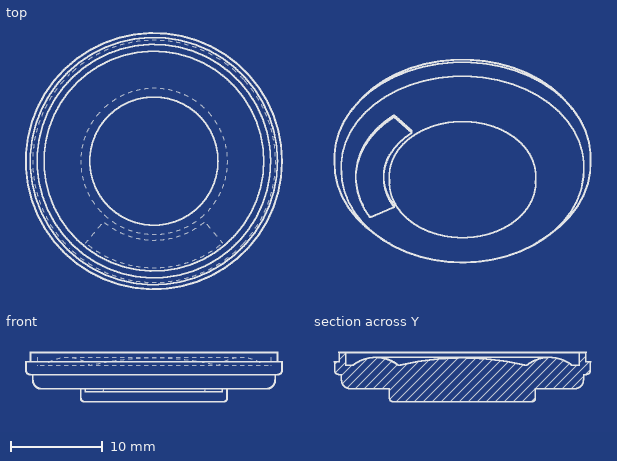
import cadquery as cq
import math

total_height = 5.41
rim_height = 1.0
collar_height = 1.45
drum_height = 1.55
boss_height = total_height - rim_height - collar_height - drum_height

drum_bottom = boss_height
collar_bottom = drum_bottom + drum_height
rim_bottom = collar_bottom + collar_height

rim_radius = 13.5
collar_radius = 14.0
drum_radius = 13.25
boss_radius = 8.0
collar_fillet = 0.5
drum_fillet = 1.0
boss_fillet = 0.4

recess_radius = 12.75
recess_depth = 1.4
ring_outer_radius = 12.0
ring_inner_radius = 7.0
ring_section_radius = 4.0
dome_sphere_radius = 30.0
floor_height = total_height - recess_depth

tab_inner_radius = 8.62
tab_outer_radius = 11.65
tab_half_angle = 40.0
tab_thickness = 0.3
tab_direction = -90.0


def disc(radius, bottom, height):
    """Cylinder about the Z axis."""
    return cq.Workplane("XY").workplane(offset=bottom).circle(radius).extrude(height)


def filleted_disc(radius, bottom, height, fillet):
    """Cylinder about the Z axis with its lower edge rounded."""
    return disc(radius, bottom, height).faces("<Z").edges().fillet(fillet)


def arc_rise(chord, radius):
    """Height of a circular arc above its chord."""
    return radius - math.sqrt(radius**2 - (chord / 2) ** 2)


def stepped_body():
    """Boss, drum, collar and rim stacked on one axis."""
    boss = filleted_disc(boss_radius, 0, boss_height, boss_fillet)
    drum = filleted_disc(drum_radius, drum_bottom, drum_height, drum_fillet)
    collar = filleted_disc(collar_radius, collar_bottom, collar_height, collar_fillet)
    rim = disc(rim_radius, rim_bottom, rim_height)
    return boss.union(drum).union(collar).union(rim)


def top_recess():
    """Revolved cutter whose underside leaves the ledge, the ring and the dome."""
    dome_top = floor_height + arc_rise(2 * ring_inner_radius, dome_sphere_radius)
    dome_mid_radius = ring_inner_radius / 2
    dome_mid = dome_top - arc_rise(2 * dome_mid_radius, dome_sphere_radius)
    ring_mid_radius = (ring_inner_radius + ring_outer_radius) / 2
    ring_top = floor_height + arc_rise(ring_outer_radius - ring_inner_radius, ring_section_radius)
    section = (
        cq.Workplane("XZ")
        .moveTo(0, total_height)
        .lineTo(0, dome_top)
        .threePointArc((dome_mid_radius, dome_mid), (ring_inner_radius, floor_height))
        .threePointArc((ring_mid_radius, ring_top), (ring_outer_radius, floor_height))
        .lineTo(recess_radius, floor_height)
        .lineTo(recess_radius, total_height)
        .close()
    )
    return section.revolve(360, (0, 0, 0), (0, 1, 0))


def polar(radius, angle):
    """XY point at a radius and an angle in degrees."""
    return (radius * math.cos(math.radians(angle)), radius * math.sin(math.radians(angle)))


def curved_tab():
    """Sector of a ring hanging below the drum."""
    start = tab_direction - tab_half_angle
    end = tab_direction + tab_half_angle
    return (
        cq.Workplane("XY")
        .workplane(offset=drum_bottom - tab_thickness)
        .moveTo(*polar(tab_inner_radius, start))
        .lineTo(*polar(tab_outer_radius, start))
        .threePointArc(polar(tab_outer_radius, tab_direction), polar(tab_outer_radius, end))
        .lineTo(*polar(tab_inner_radius, end))
        .threePointArc(polar(tab_inner_radius, tab_direction), polar(tab_inner_radius, start))
        .close()
        .extrude(tab_thickness)
    )


result = stepped_body().cut(top_recess()).union(curved_tab())